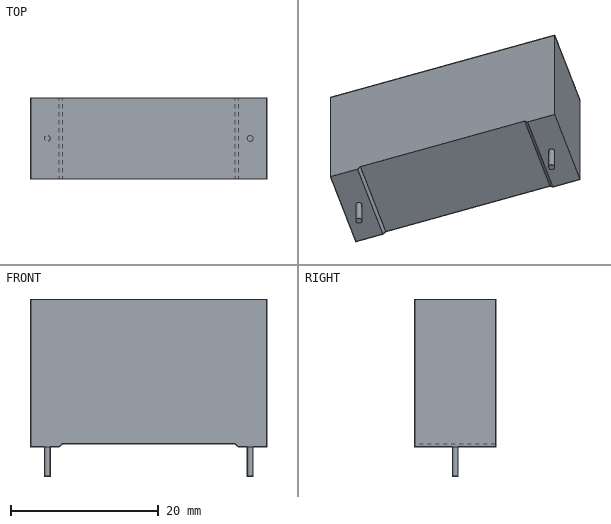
import cadquery as cq

case_length = 32.0
case_width = 11.0
case_height = 20.0

foot_length = 3.87
relief_depth = 0.4

lead_diameter = 0.8
lead_spacing = 27.5
lead_protrusion = 4.0


def make_case():
    """Solid case standing on z = 0, centred in x and y."""
    return cq.Workplane("XY").box(case_length, case_width, case_height, centered=(True, True, False))


def make_relief():
    """Trapezoidal channel with 45 degree ends, running the full width."""
    bottom_half = case_length / 2 - foot_length
    top_half = bottom_half - relief_depth
    return (
        cq.Workplane("XZ")
        .moveTo(-bottom_half, 0)
        .lineTo(bottom_half, 0)
        .lineTo(top_half, relief_depth)
        .lineTo(-top_half, relief_depth)
        .close()
        .extrude(case_width / 2, both=True)
    )


def make_leads():
    """Pair of leads hanging from the feet."""
    lead_positions = [(-lead_spacing / 2, 0), (lead_spacing / 2, 0)]
    return (
        cq.Workplane("XY")
        .pushPoints(lead_positions)
        .circle(lead_diameter / 2)
        .extrude(-lead_protrusion)
    )


result = make_case().cut(make_relief()).union(make_leads())